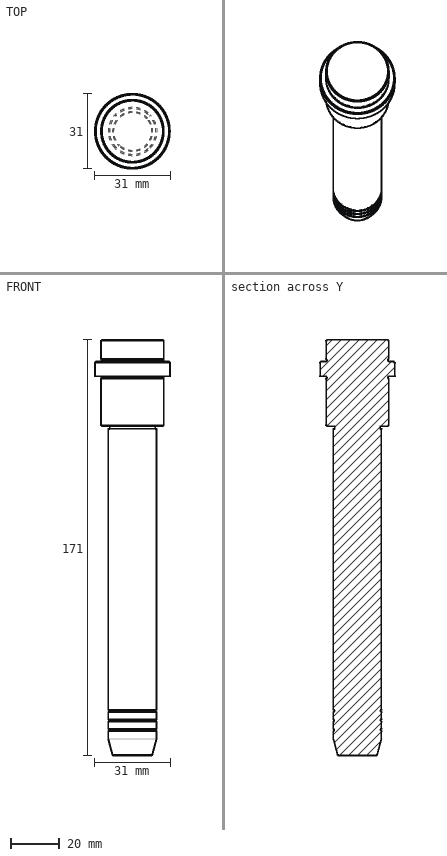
import cadquery as cq
import math

length = 171.0
flange_radius = 31.0 / 2
collar_radius = 26.0 / 2
shaft_radius = 20.0 / 2

flange_top = length - 8.9
flange_thickness = 6.2
flange_bottom = flange_top - flange_thickness
collar_bottom = length - 35.5
neck_height = 1.0
neck_radius = 9.4
collar_chamfer = 0.5
flange_chamfer = 0.5

taper_height = 7.0
taper_angle = 15.0
tip_radius = shaft_radius - taper_height * math.tan(math.radians(taper_angle))
tip_chamfer = 0.3

groove_depth = 0.5
ring_pitch = 4.0
ring_count = 3
first_ring_center = 10.6


def cylinder(radius, bottom, top):
    """Solid cylinder on the Z axis between two levels."""
    return cq.Workplane("XY").workplane(offset=bottom).circle(radius).extrude(top - bottom)


def groove(outer_radius, center_level):
    """Ring with a diamond section, centred on the surface of a cylinder of the given radius."""
    section = cq.Workplane("XZ").center(outer_radius, center_level).polygon(4, 2 * groove_depth)
    return section.revolve(360, (-outer_radius, 0), (-outer_radius, 1))


def make_shaft():
    """Shaft with a tapered tip, ring grooves and a thin neck below the collar."""
    neck_bottom = collar_bottom - neck_height
    tip = (
        cq.Workplane("XY")
        .circle(tip_radius)
        .workplane(offset=taper_height)
        .circle(shaft_radius)
        .loft(ruled=True)
        .faces("<Z")
        .chamfer(tip_chamfer)
    )
    shaft = tip.union(cylinder(shaft_radius, taper_height, neck_bottom))
    for index in range(ring_count):
        center_level = first_ring_center + index * ring_pitch
        shaft = shaft.cut(groove(shaft_radius, center_level))
    return shaft.union(cylinder(neck_radius, neck_bottom, collar_bottom))


def make_head():
    """Chamfered collar with a flange and a relief groove on each side of it."""
    collar = cylinder(collar_radius, collar_bottom, length).edges().chamfer(collar_chamfer)
    for center_level in (flange_top + groove_depth, flange_bottom - groove_depth):
        collar = collar.cut(groove(collar_radius, center_level))
    flange = cylinder(flange_radius, flange_bottom, flange_top).faces(">Z").chamfer(flange_chamfer)
    return collar.union(flange)


result = make_shaft().union(make_head())